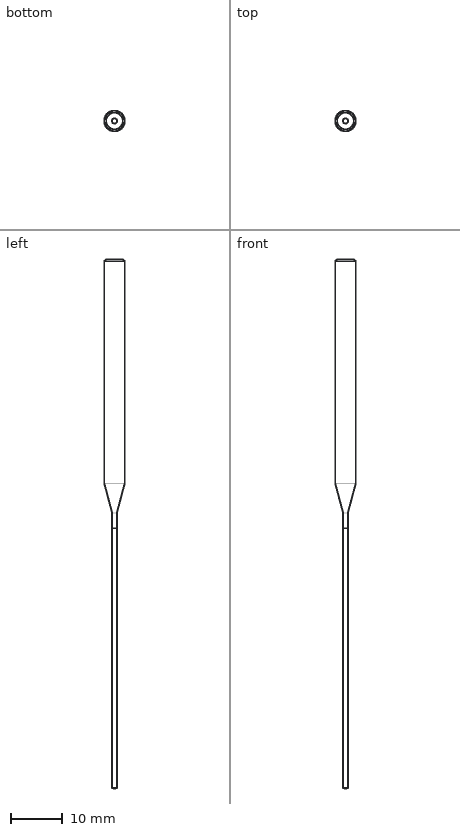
import cadquery as cq
import math

TOTAL_LENGTH = 102.0

SHANK_DIAMETER = 4.0
SHANK_LENGTH = 43.2
SHANK_CHAMFER = 0.4
TAPER_HALF_ANGLE = 15.0

DRILL_DIAMETER = 1.0
CUTTING_LENGTH = 50.2
POINT_ANGLE = 140.0

shank_radius = SHANK_DIAMETER / 2
drill_radius = DRILL_DIAMETER / 2
taper_length = (shank_radius - drill_radius) / math.tan(math.radians(TAPER_HALF_ANGLE))
point_height = drill_radius / math.tan(math.radians(POINT_ANGLE / 2))
shank_bottom = TOTAL_LENGTH - SHANK_LENGTH
taper_bottom = shank_bottom - taper_length


def revolved(profile):
    """Solid of revolution about Z from a list of (radius, height) points."""
    outline = cq.Workplane("XZ").polyline(profile).close()
    return outline.revolve(360, (0, 0, 0), (0, 1, 0))


def make_shank():
    """Shank, taper and the short neck that ends at the cutting part."""
    return revolved([
        (0, CUTTING_LENGTH),
        (drill_radius, CUTTING_LENGTH),
        (drill_radius, taper_bottom),
        (shank_radius, shank_bottom),
        (shank_radius, TOTAL_LENGTH - SHANK_CHAMFER),
        (shank_radius - SHANK_CHAMFER, TOTAL_LENGTH),
        (0, TOTAL_LENGTH),
    ])


def make_cutting_part():
    """Plain cylindrical cutting part with a conical point."""
    return revolved([
        (0, 0),
        (drill_radius, point_height),
        (drill_radius, CUTTING_LENGTH),
        (0, CUTTING_LENGTH),
    ])


shank = make_shank()
cutting_part = make_cutting_part()

result = cq.Compound.makeCompound([shank.val(), cutting_part.val()])